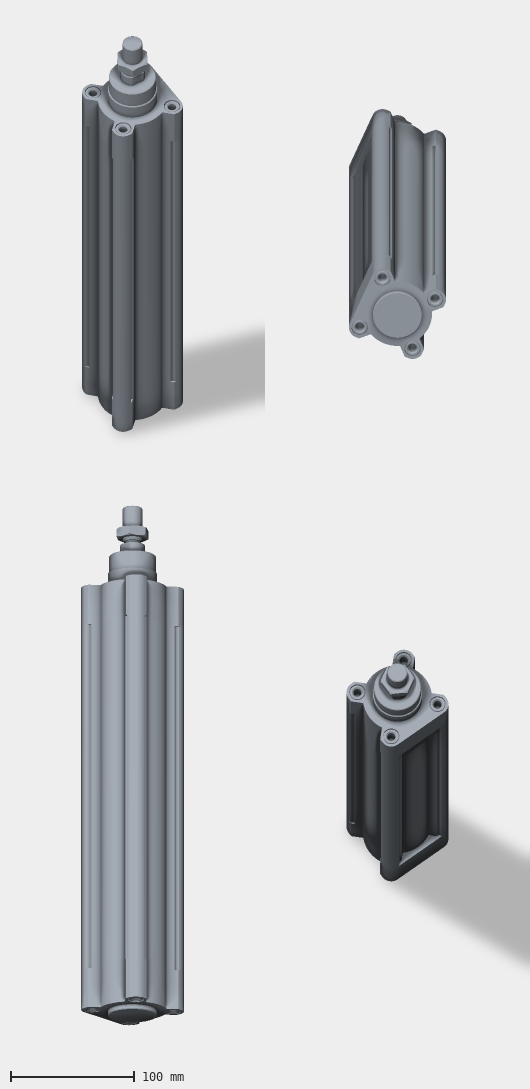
import cadquery as cq
import math


TOTAL_HEIGHT = 427.8
PILOT_HEIGHT = 4.0
BODY_LENGTH = 356.0
CAP_HEIGHT = 33.0
COLLAR_HEIGHT = 12.5
BUSH_HEIGHT = 14.5
REAR_FACE_Z = PILOT_HEIGHT
TUBE_BOTTOM_Z = REAR_FACE_Z + CAP_HEIGHT
FRONT_FACE_Z = REAR_FACE_Z + BODY_LENGTH
TUBE_TOP_Z = FRONT_FACE_Z - CAP_HEIGHT
COLLAR_TOP_Z = FRONT_FACE_Z + COLLAR_HEIGHT
BUSH_TOP_Z = COLLAR_TOP_Z + BUSH_HEIGHT

HALF_WIDTH = 32.0
BARREL_RADIUS = 28.0
LOBE_INNER = 20.0
FLANK_FILLET = 1.0
SCREW_OFFSET = 23.25
CORNER_RADIUS = HALF_WIDTH - SCREW_OFFSET
TUBE_CORNER_START = 20.9
TUBE_STEP_FOOT = 19.8
TUBE_STEP_INNER = 17.5

COLLAR_DIAMETER = 40.0
BUSH_DIAMETER = 38.0
EDGE_CHAMFER = 0.6

GROOVE_DIAMETER = 13.2
GROOVE_DEPTH = 2.0
HEAD_DIAMETER = 12.0
HEAD_TOP_DIAMETER = 11.45
HEAD_SINK = 0.3
THREAD_MOUTH_DIAMETER = 8.8
THREAD_CORE_DIAMETER = 6.65
THREAD_DEPTH = 16.0
DRILL_POINT_ANGLE = 118.0

ROD_DIAMETER = 20.0
ROD_FLATS = 17.0
ROD_THREAD_DIAMETER = 16.0
ROD_TIP_DIAMETER = 14.38
ROD_RUNOUT_LENGTH = 1.6
ROD_NECK_DIAMETER = 12.0
ROD_NECK_LENGTH = 2.6
ROD_END_LENGTH = 31.1
ROD_SHOULDER_CHAMFER = 0.5
ROD_BOTTOM_Z = TUBE_TOP_Z
ROD_SHOULDER_Z = TOTAL_HEIGHT - ROD_END_LENGTH

NUT_FLATS = 24.0
NUT_HEIGHT = 8.0
NUT_TOP_GAP = 17.8
NUT_CHAMFER_ANGLE = 30.0
NUT_TOP_Z = TOTAL_HEIGHT - NUT_TOP_GAP
NUT_BOTTOM_Z = NUT_TOP_Z - NUT_HEIGHT

FLANK_SHIFT = HALF_WIDTH - LOBE_INNER


def turned(point, quarter_turns):
    """Turn a point about the origin by whole quarter turns."""
    x, y = point
    for _ in range(quarter_turns):
        x, y = -y, x
    return (x, y)


def flank_fillet_ends():
    """Ends of a +X fillet between barrel and flank: (on the barrel, on the flank)."""
    axis_shift = FLANK_SHIFT + FLANK_FILLET * math.sqrt(2)
    axis_radius = BARREL_RADIUS + FLANK_FILLET
    axis_y = (math.sqrt(2 * axis_radius**2 - axis_shift**2) - axis_shift) / 2
    axis_x = axis_y + axis_shift
    barrel_share = BARREL_RADIUS / axis_radius
    reach = FLANK_FILLET * math.sqrt(0.5)
    return (axis_x * barrel_share, axis_y * barrel_share), (axis_x - reach, axis_y + reach)


def lobed_section(lobe_side, corner_start):
    """Closed outline of four corner lobes joined by barrel arcs.

    lobe_side holds the points of a lobe along its +X side, from the flank to the corner arc;
    the lobe's +Y side is their mirror image about the line y = x. The corner arc is centered
    on the screw axis and starts at Y = corner_start.
    """
    barrel_end, flank_end = flank_fillet_ends()
    corner_drop = SCREW_OFFSET - corner_start
    corner_x = SCREW_OFFSET + math.sqrt(CORNER_RADIUS**2 - corner_drop**2)
    corner_middle = SCREW_OFFSET + CORNER_RADIUS * math.sqrt(0.5)
    side = lobe_side + [(corner_x, corner_start)]
    mirrored_side = [(y, x) for x, y in reversed(side)]
    outline = cq.Workplane("XY").moveTo(*barrel_end)
    for quarter in range(4):
        outline = outline.radiusArc(turned(flank_end, quarter), FLANK_FILLET)
        for point in side:
            outline = outline.lineTo(*turned(point, quarter))
        middle = turned((corner_middle, corner_middle), quarter)
        outline = outline.threePointArc(middle, turned(mirrored_side[0], quarter))
        for point in mirrored_side[1:]:
            outline = outline.lineTo(*turned(point, quarter))
        outline = outline.lineTo(*turned(flank_end[::-1], quarter))
        outline = outline.radiusArc(turned(barrel_end[::-1], quarter), FLANK_FILLET)
        outline = outline.radiusArc(turned(barrel_end, quarter + 1), -BARREL_RADIUS)
    return outline.close()


def make_screw_recess():
    """Cutter around and inside one screw head, opening upward at Z = 0."""
    core_radius = THREAD_CORE_DIAMETER / 2
    mouth_radius = THREAD_MOUTH_DIAMETER / 2
    mouth_bottom = HEAD_SINK + mouth_radius - core_radius
    head_radius = HEAD_DIAMETER / 2
    head_top_radius = HEAD_TOP_DIAMETER / 2
    rim_bottom = HEAD_SINK + head_radius - head_top_radius
    point_height = core_radius / math.tan(math.radians(DRILL_POINT_ANGLE / 2))
    profile = [
        (0, 0),
        (GROOVE_DIAMETER / 2, 0),
        (GROOVE_DIAMETER / 2, -GROOVE_DEPTH),
        (head_radius, -GROOVE_DEPTH),
        (head_radius, -rim_bottom),
        (head_top_radius, -HEAD_SINK),
        (mouth_radius, -HEAD_SINK),
        (core_radius, -mouth_bottom),
        (core_radius, -THREAD_DEPTH),
        (0, -THREAD_DEPTH - point_height),
    ]
    return cq.Workplane("XZ").polyline(profile).close().revolve(360, (0, 0, 0), (0, 1, 0))


def make_cap():
    """End cap with its outer face at the top and its inner face on Z = 0."""
    cap = lobed_section([(HALF_WIDTH, LOBE_INNER)], SCREW_OFFSET).extrude(CAP_HEIGHT)
    port_block = cq.Workplane("XY").box(
        2 * LOBE_INNER, HALF_WIDTH, CAP_HEIGHT, centered=(True, False, False)
    )
    cap = cap.union(port_block)
    for x in (-SCREW_OFFSET, SCREW_OFFSET):
        for y in (-SCREW_OFFSET, SCREW_OFFSET):
            cap = cap.cut(make_screw_recess().translate((x, y, CAP_HEIGHT)))
    return cap.clean()


def make_tube():
    """Profile tube between the caps; each lobe has a small step beside each flank."""
    shelf = TUBE_STEP_INNER + FLANK_SHIFT
    lobe_side = [
        (shelf, TUBE_STEP_INNER),
        (shelf, TUBE_STEP_FOOT),
    ]
    return lobed_section(lobe_side, TUBE_CORNER_START).extrude(TUBE_TOP_Z - TUBE_BOTTOM_Z)


def disc(diameter, bottom_z, height):
    """Upright cylinder on the Z axis."""
    return cq.Workplane("XY").workplane(offset=bottom_z).circle(diameter / 2).extrude(height)


def make_housing():
    """Caps, tube, front collar with bush and rear pilot, bored for the rod."""
    cap = make_cap()
    rear_cap = cap.mirror("XY").translate((0, 0, TUBE_BOTTOM_Z))
    collar = disc(COLLAR_DIAMETER, FRONT_FACE_Z, COLLAR_HEIGHT).faces(">Z").edges().chamfer(EDGE_CHAMFER)
    bush = disc(BUSH_DIAMETER, COLLAR_TOP_Z, BUSH_HEIGHT).faces(">Z").edges().chamfer(EDGE_CHAMFER)
    pilot = disc(COLLAR_DIAMETER, 0, PILOT_HEIGHT).faces("<Z").edges().chamfer(EDGE_CHAMFER)
    housing = make_tube().translate((0, 0, TUBE_BOTTOM_Z))
    for piece in (cap.translate((0, 0, TUBE_TOP_Z)), rear_cap, collar, bush, pilot):
        housing = housing.union(piece, clean=False)
    return housing.cut(disc(ROD_DIAMETER, ROD_BOTTOM_Z, BUSH_TOP_Z - ROD_BOTTOM_Z), clean=False)


def make_rod():
    """Piston rod with wrench flats, an undercut neck and a chamfered thread end."""
    rod_radius = ROD_DIAMETER / 2
    neck_radius = ROD_NECK_DIAMETER / 2
    thread_radius = ROD_THREAD_DIAMETER / 2
    tip_radius = ROD_TIP_DIAMETER / 2
    neck_top = ROD_SHOULDER_Z + ROD_NECK_LENGTH
    profile = [
        (0, ROD_BOTTOM_Z),
        (rod_radius, ROD_BOTTOM_Z),
        (rod_radius, ROD_SHOULDER_Z - ROD_SHOULDER_CHAMFER),
        (rod_radius - ROD_SHOULDER_CHAMFER, ROD_SHOULDER_Z),
        (neck_radius, ROD_SHOULDER_Z),
        (neck_radius, neck_top),
        (tip_radius, neck_top),
        (thread_radius, neck_top + ROD_RUNOUT_LENGTH),
        (thread_radius, TOTAL_HEIGHT - (thread_radius - tip_radius)),
        (tip_radius, TOTAL_HEIGHT),
        (0, TOTAL_HEIGHT),
    ]
    rod = cq.Workplane("XZ").polyline(profile).close().revolve(360, (0, 0, 0), (0, 1, 0))
    flats_height = ROD_SHOULDER_Z - BUSH_TOP_Z
    for side in (-1, 1):
        waste = cq.Workplane("XY").box(
            ROD_DIAMETER, ROD_DIAMETER, flats_height, centered=(True, True, False)
        )
        rod = rod.cut(waste.translate((side * (ROD_FLATS + ROD_DIAMETER) / 2, 0, BUSH_TOP_Z)))
    return rod


def make_nut():
    """Hexagon nut with flats toward +X and -X and both ends chamfered."""
    corner_radius = NUT_FLATS / math.sqrt(3)
    end_radius = NUT_FLATS / 2
    chamfer_height = (corner_radius - end_radius) * math.tan(math.radians(NUT_CHAMFER_ANGLE))
    hexagon = (
        cq.Workplane("XY")
        .polygon(6, 2 * corner_radius)
        .circle(ROD_THREAD_DIAMETER / 2)
        .extrude(NUT_HEIGHT)
        .rotate((0, 0, 0), (0, 0, 1), 30)
    )
    envelope = [
        (0, 0),
        (end_radius, 0),
        (corner_radius, chamfer_height),
        (corner_radius, NUT_HEIGHT - chamfer_height),
        (end_radius, NUT_HEIGHT),
        (0, NUT_HEIGHT),
    ]
    turned_blank = cq.Workplane("XZ").polyline(envelope).close().revolve(360, (0, 0, 0), (0, 1, 0))
    return hexagon.intersect(turned_blank).translate((0, 0, NUT_BOTTOM_Z))


housing = make_housing()
rod = make_rod()
nut = make_nut()

result = cq.Compound.makeCompound([housing.val(), rod.val(), nut.val()])